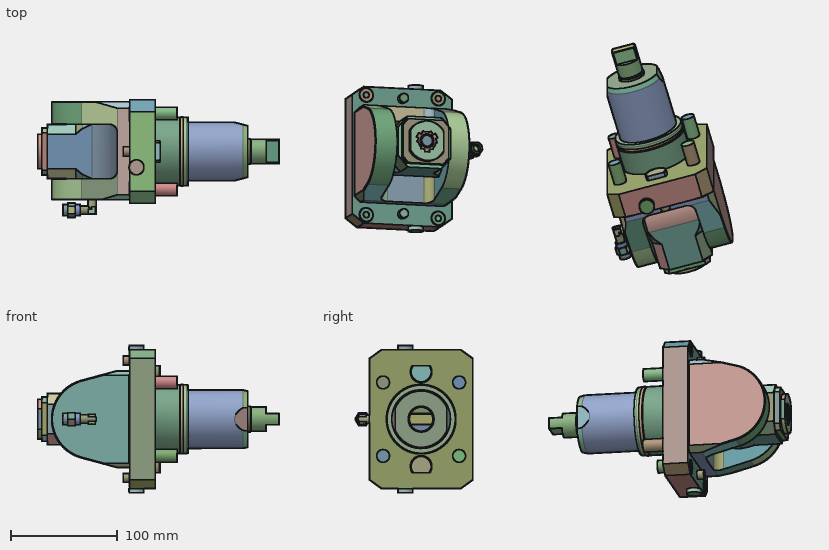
import cadquery as cq
import math


overall_length = 226.26

flange_thickness = 24.0
flange_half_width = 48.5
flange_half_height = 65.0
flange_corner_y = 11.3
flange_corner_z = 8.2

fork_front_y = -45.2
fork_back_y = 46.8
fork_half_height = 45.3
fork_nose_radius = 37.6
fork_slope = math.radians(15)
pivot_x = -59.6
fork_edge_chamfer = 0.7
fork_front_corner = (4.7, 4.1)
fork_back_corner = (6.2, 5.8)
pocket_half_width = 25.6
pocket_back_x = -35.5
pocket_corner_radius = 8.0

head_half_width = 25.5
head_half_height = 24.2
head_front_x = -101.2
head_corner_y = 9.2
head_corner_z = 10.3
head_corner_end_x = -74.6
head_runout_x = -68.5
head_runout_share = 0.46
face_plate_front_x = -106.3
face_plate_half_width = 22.1
face_plate_half_height = 20.8
face_plate_corner_y = 4.5
face_plate_corner_z = 5.5
disc_front_x = -110.2
disc_radius = 18.8
disc_flat_half_width = 16.2

socket_depth = 0.3
socket_radius = 8.6
lobe_half_width = 6.0
lobe_reach = 8.0
tab_half_width = 2.3
tab_reach = 10.6
lobe_angles = (30, 150, 270)
socket_ring_outer = 6.5
socket_ring_inner = 5.3

spigot_radius = 32.3
spigot_end_x = 22.6
groove_end_x = 23.3
groove_depth = 1.0
seal_end_x = 26.0
seal_radius = 32.6
collar_taper_x = 28.8
collar_end_x = 30.7
collar_end_radius = 31.9
housing_radius = 27.5
housing_taper_x = 81.8
housing_end_x = 86.6
housing_end_radius = 26.4
housing_flat_angle = math.radians(15)
housing_flat_end_y = 24.1
shaft_shoulder_radius = 12.1
shaft_shoulder_end_x = 88.7
shaft_relief_end_x = 90.0
shaft_relief_radius = 11.2
shaft_radius = 11.5
tang_start_x = 103.6
tang_half_thickness = 5.3
tang_long_chamfer = 0.3
tang_end_chamfer = 0.5
shaft_end_x = disc_front_x + overall_length

screw_y = 35.0
screw_z = 57.0
screw_head_radius = 6.7
screw_head_height = 0.5
screw_head_chamfer = 0.3
screw_socket_radius = 2.8
pin_z = 54.9
pin_radius = 4.25
pin_length = 6.3
dowel_y = 35.6
dowel_z = 34.4
dowel_radius = 6.0
dowel_length = 20.4
pad_z = 44.3
pad_radius = 10.1
pad_top_z = 50.2
pad_height = 4.4
pad_chamfer = 0.7
plug_x = -17.7
plug_y = -14.8
plug_radius = 7.0
plug_height = 4.0

fitting_x = -59.3
fitting_y = -54.94
fitting_tube_radius = 4.0
fitting_collar_start_x = -86.7
fitting_collar_end_x = -70.4
fitting_collar_radius = 5.4
fitting_nut_start_x = -81.9
fitting_nut_end_x = -74.8
fitting_nut_flats = 12.0
fitting_nut_chamfer = 0.8
fitting_bore_radius = 3.3
fitting_bore_depth = 6.0
elbow_half_height = 4.7
elbow_start_x = -62.7
elbow_end_x = -56.1
elbow_front_y = -58.3
elbow_back_y = -51.6
elbow_notch_x = -59.7
elbow_notch_y = -53.9

overlap = 2.0


def box(x_range, y_range, z_range):
    """Axis-aligned box from (low, high) pairs."""
    spans = (x_range, y_range, z_range)
    sizes = [high - low for low, high in spans]
    corner = tuple(low for low, high in spans)
    return cq.Workplane("XY").box(*sizes, centered=False).translate(corner)


def rod(x_start, x_end, radius, y=0.0, z=0.0):
    """Cylinder along X."""
    plane = cq.Workplane("YZ", origin=(x_start, y, z))
    return plane.circle(radius).extrude(x_end - x_start)


def octagon_block(x_start, x_end, half_width, half_height, corner_y, corner_z):
    """Block along X whose four corners are cut off."""
    inner_y = half_width - corner_y
    inner_z = half_height - corner_z
    outline = [
        (inner_y, half_height), (half_width, inner_z),
        (half_width, -inner_z), (inner_y, -half_height),
        (-inner_y, -half_height), (-half_width, -inner_z),
        (-half_width, inner_z), (-inner_y, half_height),
    ]
    plane = cq.Workplane("YZ", origin=(x_start, 0, 0))
    return plane.polyline(outline).close().extrude(x_end - x_start)


def make_flange():
    return octagon_block(
        -flange_thickness, 0, flange_half_width, flange_half_height, flange_corner_y, flange_corner_z
    )


def fork_corner_cut(y_edge, inward, size, side):
    """Wedge along X that bevels one long corner of the fork."""
    size_y, size_z = size
    y_outer = y_edge - inward * size_y
    z_outer = side * (fork_half_height + size_z)
    outline = [
        (y_edge + inward * size_y, side * fork_half_height),
        (y_edge, side * (fork_half_height - size_z)),
        (y_outer, side * (fork_half_height - size_z)),
        (y_outer, z_outer),
        (y_edge + inward * size_y, z_outer),
    ]
    plane = cq.Workplane("YZ", origin=(pivot_x - fork_nose_radius, 0, 0))
    return plane.polyline(outline).close().extrude(fork_nose_radius - pivot_x)


def make_fork():
    tangent_x = pivot_x - fork_nose_radius * math.sin(fork_slope)
    tangent_z = fork_nose_radius * math.cos(fork_slope)
    shoulder_x = tangent_x + (fork_half_height - tangent_z) / math.tan(fork_slope)
    root_x = -flange_thickness
    fork = (
        cq.Workplane("XZ", origin=(0, fork_back_y, 0))
        .moveTo(root_x, -fork_half_height)
        .lineTo(root_x, fork_half_height)
        .lineTo(shoulder_x, fork_half_height)
        .lineTo(tangent_x, tangent_z)
        .threePointArc((pivot_x - fork_nose_radius, 0), (tangent_x, -tangent_z))
        .lineTo(shoulder_x, -fork_half_height)
        .close()
        .extrude(fork_back_y - fork_front_y)
    )
    fork = fork.faces("<Y or >Y").chamfer(fork_edge_chamfer)
    for side in (-1, 1):
        fork = fork.cut(fork_corner_cut(fork_front_y, 1, fork_front_corner, side))
        fork = fork.cut(fork_corner_cut(fork_back_y, -1, fork_back_corner, side))
    pocket = box(
        (disc_front_x, pocket_back_x),
        (-pocket_half_width, pocket_half_width),
        (-fork_half_height - overlap, fork_half_height + overlap),
    )
    pocket = pocket.edges("|Z and >X").fillet(pocket_corner_radius)
    return fork.cut(pocket)


def head_corner_cut(side_y, side_z):
    """Corner cut of the head that runs out toward the pivot in two slopes."""
    leg_angle = math.atan2(head_corner_z, head_corner_y)
    depth = head_corner_y * math.sin(leg_angle)
    corner = (0, side_y * head_half_width, side_z * head_half_height)
    outward = cq.Vector(0, side_y * math.sin(leg_angle), side_z * math.cos(leg_angle))
    along_edge = cq.Vector(1, 0, 0).cross(outward)
    plane = cq.Plane(origin=corner, xDir=(1, 0, 0), normal=along_edge.toTuple())
    return (
        cq.Workplane(plane)
        .moveTo(head_front_x, overlap)
        .lineTo(head_front_x, -depth)
        .lineTo(head_corner_end_x, -depth)
        .lineTo(head_runout_x, -depth * head_runout_share)
        .lineTo(pivot_x, 0)
        .lineTo(pivot_x, overlap)
        .close()
        .extrude(head_half_height, both=True)
    )


def make_head():
    block = box(
        (head_front_x, pivot_x),
        (-head_half_width, head_half_width),
        (-head_half_height, head_half_height),
    )
    barrel = (
        cq.Workplane("XZ", origin=(pivot_x, pocket_half_width, 0))
        .circle(head_half_height)
        .extrude(2 * pocket_half_width)
    )
    head = block.union(barrel)
    for side_y in (-1, 1):
        for side_z in (-1, 1):
            head = head.cut(head_corner_cut(side_y, side_z))
    face_plate = octagon_block(
        face_plate_front_x,
        head_front_x,
        face_plate_half_width,
        face_plate_half_height,
        face_plate_corner_y,
        face_plate_corner_z,
    )
    disc = rod(disc_front_x, face_plate_front_x, disc_radius).intersect(
        box(
            (disc_front_x, face_plate_front_x),
            (-disc_flat_half_width, disc_flat_half_width),
            (-disc_radius, disc_radius),
        )
    )
    return head.union(face_plate).union(disc).cut(make_tool_socket())


def make_tool_socket():
    floor_x = disc_front_x + socket_depth
    depth_range = (disc_front_x, floor_x)
    socket = rod(disc_front_x, floor_x, socket_radius)
    for angle in lobe_angles:
        lobe = box(depth_range, (0, lobe_reach), (-lobe_half_width, lobe_half_width))
        tab = box(depth_range, (0, tab_reach), (-tab_half_width, tab_half_width))
        socket = socket.union(lobe.union(tab).rotate((0, 0, 0), (1, 0, 0), angle))
    ring = rod(disc_front_x, floor_x, socket_ring_outer).cut(
        rod(disc_front_x, floor_x, socket_ring_inner)
    )
    return socket.cut(ring)


def make_spindle():
    """Spigot, seal, collar, housing and shaft as one turned body with milled flats."""
    groove_radius = spigot_radius - groove_depth
    seal_middle_x = (groove_end_x + seal_end_x) / 2
    turned = (
        cq.Workplane("XY")
        .moveTo(-overlap, 0)
        .lineTo(-overlap, spigot_radius)
        .lineTo(spigot_end_x, spigot_radius)
        .lineTo(spigot_end_x, groove_radius)
        .lineTo(groove_end_x, groove_radius)
        .threePointArc((seal_middle_x, seal_radius), (seal_end_x, spigot_radius))
        .lineTo(collar_taper_x, spigot_radius)
        .lineTo(collar_end_x, collar_end_radius)
        .lineTo(collar_end_x, housing_radius)
        .lineTo(housing_taper_x, housing_radius)
        .lineTo(housing_end_x, housing_end_radius)
        .lineTo(housing_end_x, shaft_shoulder_radius)
        .lineTo(shaft_shoulder_end_x, shaft_shoulder_radius)
        .lineTo(shaft_shoulder_end_x, shaft_relief_radius)
        .lineTo(shaft_relief_end_x, shaft_relief_radius)
        .lineTo(shaft_relief_end_x, shaft_radius)
        .lineTo(shaft_end_x, shaft_radius)
        .lineTo(shaft_end_x, 0)
        .close()
        .revolve(360, (0, 0, 0), (1, 0, 0))
    )
    flat_length = (housing_radius - housing_flat_end_y) / math.tan(housing_flat_angle)
    flat_wedge = (
        cq.Workplane("XY", origin=(0, 0, -housing_radius))
        .moveTo(housing_end_x - flat_length, housing_radius)
        .lineTo(housing_end_x, housing_flat_end_y)
        .lineTo(housing_end_x, housing_radius)
        .close()
        .extrude(2 * housing_radius)
    )
    return cut_tang(turned.cut(flat_wedge).cut(flat_wedge.mirror("XZ")))


def cut_tang(spindle):
    """Mill two flats on the end of the shaft and bevel the long and end edges of the tang they leave."""
    slab = box(
        (tang_start_x, shaft_end_x),
        (-shaft_radius, shaft_radius),
        (tang_half_thickness, shaft_radius),
    )
    spindle = spindle.cut(slab).cut(slab.mirror("XY"))
    for side in (-1, 1):
        flat_z = side * tang_half_thickness
        flat_edges = cq.selectors.BoxSelector(
            (tang_start_x, -shaft_radius, flat_z - tang_long_chamfer),
            (shaft_end_x, shaft_radius, flat_z + tang_long_chamfer),
        )
        spindle = spindle.edges("|X").edges(flat_edges).chamfer(tang_long_chamfer)
    return spindle.faces(">X").chamfer(tang_end_chamfer)


def make_screw_head(y, z):
    outer_x = -flange_thickness - screw_head_height
    head = rod(outer_x, -flange_thickness, screw_head_radius, y, z)
    head = head.faces("<X").chamfer(screw_head_chamfer)
    return head.cut(rod(outer_x, -flange_thickness, screw_socket_radius, y, z))


def make_clamp_pad():
    """Round pad on the mounting face with a flat on its outer edge."""
    pad = rod(0, pad_height, pad_radius, 0, pad_z).faces(">X").chamfer(pad_chamfer)
    above_flat = box((0, pad_height), (-pad_radius, pad_radius), (pad_top_z, pad_z + pad_radius))
    return pad.cut(above_flat)


def add_flange_hardware(body):
    for side_z in (-1, 1):
        for side_y in (-1, 1):
            body = body.union(make_screw_head(side_y * screw_y, side_z * screw_z))
            body = body.union(rod(0, dowel_length, dowel_radius, side_y * dowel_y, side_z * dowel_z))
        pin_end_x = -flange_thickness - pin_length
        body = body.union(rod(pin_end_x, -flange_thickness, pin_radius, 0, side_z * pin_z))
    plug = (
        cq.Workplane("XY", origin=(plug_x, plug_y, flange_half_height))
        .circle(plug_radius)
        .extrude(plug_height)
    )
    pad = make_clamp_pad()
    for feature in (plug, pad):
        body = body.union(feature).union(feature.mirror("XY"))
    return body


def make_fitting():
    path = (
        cq.Workplane("XY")
        .moveTo(fitting_x, fork_front_y + overlap)
        .lineTo(fitting_x, fitting_y)
        .lineTo(fitting_collar_end_x - overlap, fitting_y)
    )
    tube = (
        cq.Workplane("XZ", origin=(fitting_x, fork_front_y + overlap, 0))
        .circle(fitting_tube_radius)
        .sweep(path, transition="right")
    )
    elbow = box(
        (elbow_start_x, elbow_end_x),
        (elbow_front_y, elbow_back_y),
        (-elbow_half_height, elbow_half_height),
    )
    notch = box(
        (elbow_start_x, elbow_notch_x),
        (elbow_notch_y, elbow_back_y),
        (-elbow_half_height, elbow_half_height),
    )
    collar = rod(fitting_collar_start_x, fitting_collar_end_x, fitting_collar_radius, fitting_y)
    nut_corner_radius = fitting_nut_flats / math.sqrt(3)
    nut = (
        cq.Workplane("YZ", origin=(fitting_nut_start_x, fitting_y, 0))
        .polygon(6, 2 * nut_corner_radius)
        .extrude(fitting_nut_end_x - fitting_nut_start_x)
    )
    nut_round = rod(fitting_nut_start_x, fitting_nut_end_x, nut_corner_radius, fitting_y)
    nut = nut.intersect(nut_round.faces(">X").chamfer(fitting_nut_chamfer))
    bore_end_x = fitting_collar_start_x + fitting_bore_depth
    bore = rod(fitting_collar_start_x, bore_end_x, fitting_bore_radius, fitting_y)
    return tube.union(elbow.cut(notch)).union(collar).union(nut).cut(bore)


body = make_flange().union(make_fork()).union(make_head()).union(make_spindle())
body = add_flange_hardware(body)
result = body.union(make_fitting())